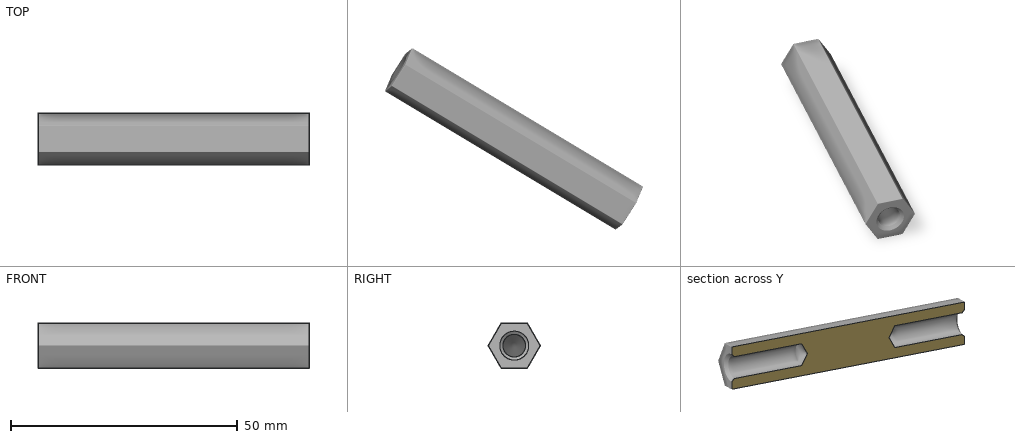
import cadquery as cq
import math

length = 60.0
side_count = 6
across_flats = 10.0
edge_radius = 0.1

hole_diameter = 5.0
hole_depth = 18.0
drill_point_angle = 120.0
countersink_diameter = 6.4
countersink_angle = 90.0


def hex_bar():
    """Round-edged hexagonal bar from X = 0 to X = length, with flats facing +Z and -Z."""
    half_side_angle = math.radians(180 / side_count)
    across_corners = across_flats / math.cos(half_side_angle)
    bar = cq.Workplane("YZ").polygon(side_count, across_corners).extrude(length)
    return bar.edges().fillet(edge_radius)


def cone_height(large_radius, small_radius, included_angle):
    """Axial length of a cone between two radii."""
    return (large_radius - small_radius) / math.tan(math.radians(included_angle / 2))


def end_hole():
    """Cutter for the hole opening at X = 0, as half its section turned about X."""
    hole_radius = hole_diameter / 2
    mouth_radius = countersink_diameter / 2
    countersink_depth = cone_height(mouth_radius, hole_radius, countersink_angle)
    tip_depth = hole_depth + cone_height(hole_radius, 0, drill_point_angle)
    section = (
        cq.Workplane("XY")
        .moveTo(0, 0)
        .lineTo(0, mouth_radius)
        .lineTo(countersink_depth, hole_radius)
        .lineTo(hole_depth, hole_radius)
        .lineTo(tip_depth, 0)
        .close()
    )
    return section.revolve(360, (0, 0, 0), (1, 0, 0))


near_hole = end_hole()
far_hole = near_hole.mirror("YZ").translate((length, 0, 0))

result = hex_bar().cut(near_hole).cut(far_hole)